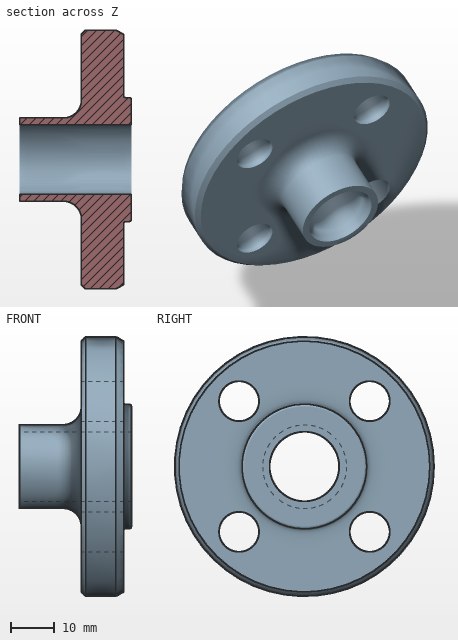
import cadquery as cq
import math

overall_length = 25.5
bore_diameter = 15.75
neck_diameter = 19.05
neck_straight_length = 10.05
neck_fillet_radius = 4.0

flange_diameter = 59.0
flange_thickness = 9.7
back_chamfer = 1.0
front_chamfer_length = 1.75
front_chamfer_depth = 1.0

raised_face_diameter = 28.3
raised_face_edge_fillet = 0.6
raised_face_root_fillet = 0.35

bolt_count = 4
bolt_circle_diameter = 42.0
bolt_hole_diameter = 9.0
first_bolt_angle = 45.0

neck_radius = neck_diameter / 2
flange_radius = flange_diameter / 2
raised_face_radius = raised_face_diameter / 2
flange_back = neck_straight_length + neck_fillet_radius
flange_front = flange_back + flange_thickness
diagonal = math.sqrt(0.5)


def make_body():
    """Revolve the half outline, drawn as (axial position, radius)."""
    root = raised_face_root_fillet
    edge = raised_face_edge_fillet
    neck_arc_middle = (
        neck_straight_length + neck_fillet_radius * diagonal,
        neck_radius + neck_fillet_radius * (1 - diagonal),
    )
    root_arc_middle = (
        flange_front + root * (1 - diagonal),
        raised_face_radius + root * (1 - diagonal),
    )
    edge_arc_middle = (
        overall_length - edge * (1 - diagonal),
        raised_face_radius - edge * (1 - diagonal),
    )
    outline = (
        cq.Workplane("XY")
        .moveTo(0, bore_diameter / 2)
        .lineTo(0, neck_radius)
        .lineTo(neck_straight_length, neck_radius)
        .threePointArc(neck_arc_middle, (flange_back, neck_radius + neck_fillet_radius))
        .lineTo(flange_back, flange_radius - back_chamfer)
        .lineTo(flange_back + back_chamfer, flange_radius)
        .lineTo(flange_front - front_chamfer_length, flange_radius)
        .lineTo(flange_front, flange_radius - front_chamfer_depth)
        .lineTo(flange_front, raised_face_radius + root)
        .threePointArc(root_arc_middle, (flange_front + root, raised_face_radius))
        .lineTo(overall_length - edge, raised_face_radius)
        .threePointArc(edge_arc_middle, (overall_length, raised_face_radius - edge))
        .lineTo(overall_length, bore_diameter / 2)
        .close()
    )
    return outline.revolve(360, (0, 0, 0), (1, 0, 0))


def make_bolt_holes():
    """Cylinders through the flange, evenly spaced on the bolt circle."""
    return (
        cq.Workplane("YZ", origin=(flange_back, 0, 0))
        .polarArray(bolt_circle_diameter / 2, first_bolt_angle, 360, bolt_count)
        .circle(bolt_hole_diameter / 2)
        .extrude(flange_thickness)
    )


result = make_body().cut(make_bolt_holes())